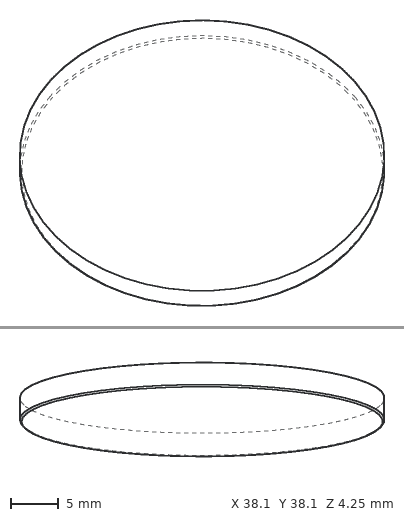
import cadquery as cq

diameter = 38.1
total_height = 4.25
edge_height = 2.55
base_chamfer = 0.2

radius = diameter / 2

dome_height = total_height - edge_height
sphere_radius = (radius**2 + dome_height**2) / (2 * dome_height)
mid_radius = radius / 2
mid_height = total_height - sphere_radius + (sphere_radius**2 - mid_radius**2) ** 0.5

half_profile = (
    cq.Workplane("XZ")
    .lineTo(radius - base_chamfer, 0)
    .lineTo(radius, base_chamfer)
    .lineTo(radius, edge_height)
    .threePointArc((mid_radius, mid_height), (0, total_height))
    .close()
)

result = half_profile.revolve(360, (0, 0, 0), (0, 1, 0))